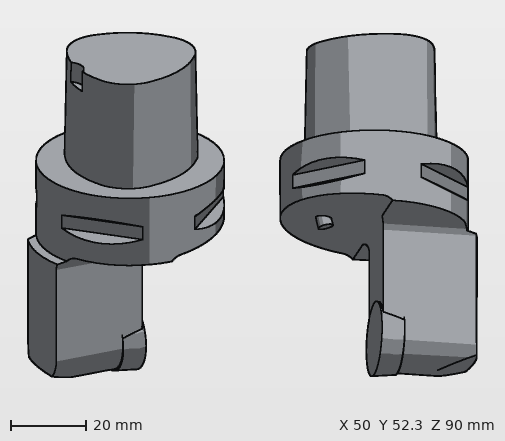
import cadquery as cq
import math


shank_length = 30.0
shank_mean_diameter = 35.2
shank_taper = 1 / 25
shank_lobe_height = 1.1
lobe_count = 3
lobe_half_angle = 36.0
notch_radius = 4.5
notch_depth = 5.6
notch_inner_y = -14.05

flange_radius = 25.0
flange_height = 19.5
underside_rear_height = 16.2
underside_angle = 5.0

slot_count = 4
slot_center_z = -10.2
slot_floor_height = 3.7
slot_floor_distance = 22.25
slot_flank_angle = 30.0

insert_radius = 10.0
insert_thickness = 6.35
insert_clearance_angle = 7.0
insert_center_z = -50.0

blade_width = 17.5
blade_face_y = -0.55
blade_outer_radius = 27.3
blade_shoulder_z = -21.1
blade_shoulder_angle = 15.0
blade_fillet = 4.0
heel_angle = 20.0
heel_bend_y = -16.0
heel_bend_radius = 13.0

nozzle_diameter = 4.0
nozzle_tilt = 14.0
nozzle_tip_y = 13.15
nozzle_tip_z = -19.5
nozzle_length = 5.0

overcut = 5.0
blade_half_width = blade_width / 2
blade_bottom_z = insert_center_z - blade_half_width


def polygon_point(mean_diameter, angle):
    """Point of the rounded three-lobe polygon whose outline normal stands at the angle (degrees)."""
    phase = math.radians(lobe_count * (angle - 90))
    support = mean_diameter / 2 + shank_lobe_height * math.cos(phase)
    slope = -lobe_count * shank_lobe_height * math.sin(phase)
    normal = math.radians(angle)
    x = support * math.cos(normal) - slope * math.sin(normal)
    y = support * math.sin(normal) + slope * math.cos(normal)
    return (x, y)


def polygon_wire(mean_diameter, z):
    """Closed outline of alternating lobe and flank arcs."""
    pitch = 360 / lobe_count
    outline = cq.Workplane("XY", origin=(0, 0, z))
    outline = outline.moveTo(*polygon_point(mean_diameter, 90 - lobe_half_angle))
    for i in range(lobe_count):
        lobe = 90 + i * pitch
        outline = outline.threePointArc(
            polygon_point(mean_diameter, lobe),
            polygon_point(mean_diameter, lobe + lobe_half_angle),
        )
        outline = outline.threePointArc(
            polygon_point(mean_diameter, lobe + pitch / 2),
            polygon_point(mean_diameter, lobe + pitch - lobe_half_angle),
        )
    return outline.close().val()


def make_shank():
    top_diameter = shank_mean_diameter - shank_taper * shank_length
    wires = [polygon_wire(shank_mean_diameter, 0), polygon_wire(top_diameter, shank_length)]
    shank = cq.Workplane(cq.Solid.makeLoft(wires, True))
    notch = (
        cq.Workplane("XY", origin=(0, notch_inner_y - notch_radius, shank_length - notch_depth))
        .circle(notch_radius)
        .extrude(notch_depth + overcut)
    )
    return shank.cut(notch)


def make_turned_body():
    """Flange cylinder with the wider cylinder that forms the back of the blade below it."""
    shoulder_drop = (blade_outer_radius - flange_radius) * math.tan(math.radians(blade_shoulder_angle))
    return (
        cq.Workplane("XZ")
        .moveTo(0, 0)
        .lineTo(flange_radius, 0)
        .lineTo(flange_radius, blade_shoulder_z)
        .lineTo(blade_outer_radius, blade_shoulder_z - shoulder_drop)
        .lineTo(blade_outer_radius, blade_bottom_z)
        .lineTo(0, blade_bottom_z)
        .close()
        .revolve(360, (0, 0, 0), (0, 1, 0))
    )


def make_width_profile():
    """Flange and round-ended blade in the XZ plane, with fillets between them."""
    reach = blade_outer_radius + overcut
    fillet_x = blade_half_width + blade_fillet
    fillet_z = -flange_height - blade_fillet
    return (
        cq.Workplane("XZ")
        .moveTo(-reach, 0)
        .lineTo(reach, 0)
        .lineTo(reach, -flange_height)
        .lineTo(fillet_x, -flange_height)
        .radiusArc((blade_half_width, fillet_z), -blade_fillet)
        .lineTo(blade_half_width, insert_center_z)
        .threePointArc((0, blade_bottom_z), (-blade_half_width, insert_center_z))
        .lineTo(-blade_half_width, fillet_z)
        .radiusArc((-fillet_x, -flange_height), -blade_fillet)
        .lineTo(-reach, -flange_height)
        .close()
        .extrude(reach, both=True)
    )


def make_depth_profile():
    """Sloped flange underside, blade front face and heel relief in the YZ plane."""
    reach = blade_outer_radius + overcut
    slope = math.tan(math.radians(underside_angle))
    corner_z = -underside_rear_height - (flange_radius - blade_face_y) * slope
    rear_z = -underside_rear_height + (reach - flange_radius) * slope
    fillet_run = blade_fillet * math.tan(math.radians(90 - underside_angle) / 2)
    fillet_start = (
        blade_face_y + fillet_run * math.cos(math.radians(underside_angle)),
        corner_z + fillet_run * math.sin(math.radians(underside_angle)),
    )
    fillet_end = (blade_face_y, corner_z - fillet_run)

    heel = math.radians(heel_angle)
    bend_run = heel_bend_radius * math.tan(heel / 2)
    bend_start = (heel_bend_y + bend_run, blade_bottom_z)
    bend_end = (heel_bend_y - bend_run * math.cos(heel), blade_bottom_z + bend_run * math.sin(heel))
    heel_end = (-reach, blade_bottom_z + (reach + heel_bend_y) * math.tan(heel))

    return (
        cq.Workplane("YZ")
        .moveTo(-reach, 0)
        .lineTo(reach, 0)
        .lineTo(reach, rear_z)
        .lineTo(*fillet_start)
        .radiusArc(fillet_end, -blade_fillet)
        .lineTo(blade_face_y, blade_bottom_z)
        .lineTo(*bend_start)
        .radiusArc(bend_end, heel_bend_radius)
        .lineTo(*heel_end)
        .close()
        .extrude(reach, both=True)
    )


def make_slot_cutter():
    """Straight slot with sloping flanks, cut into the +X side of the flange."""
    outer_x = flange_radius + overcut
    half_floor = slot_floor_height / 2
    half_mouth = half_floor + (outer_x - slot_floor_distance) * math.tan(math.radians(slot_flank_angle))
    return (
        cq.Workplane("XZ")
        .moveTo(slot_floor_distance, slot_center_z - half_floor)
        .lineTo(outer_x, slot_center_z - half_mouth)
        .lineTo(outer_x, slot_center_z + half_mouth)
        .lineTo(slot_floor_distance, slot_center_z + half_floor)
        .close()
        .extrude(flange_radius, both=True)
    )


def make_nozzle():
    tilt = math.radians(nozzle_tilt)
    axis = cq.Vector(0, math.sin(tilt), math.cos(tilt))
    tip = cq.Vector(0, nozzle_tip_y, nozzle_tip_z)
    return cq.Workplane(cq.Solid.makeCylinder(nozzle_diameter / 2, nozzle_length, tip, axis))


def make_insert():
    """Round insert that narrows from its top face at Y = 0 toward -Y."""
    base_radius = insert_radius - insert_thickness * math.tan(math.radians(insert_clearance_angle))
    center = cq.Vector(0, 0, insert_center_z)
    return cq.Workplane(
        cq.Solid.makeCone(insert_radius, base_radius, insert_thickness, center, cq.Vector(0, -1, 0))
    )


def make_holder(insert):
    body = make_turned_body().intersect(make_width_profile()).intersect(make_depth_profile())
    holder = body.union(make_shank()).union(make_nozzle())
    slot = make_slot_cutter()
    for i in range(slot_count):
        angle = 360 / slot_count * (i + 0.5)
        holder = holder.cut(slot.rotate((0, 0, 0), (0, 0, 1), angle))
    return holder.cut(insert)


insert = make_insert()
holder = make_holder(insert)

result = cq.Compound.makeCompound([holder.solids().val(), insert.val()])